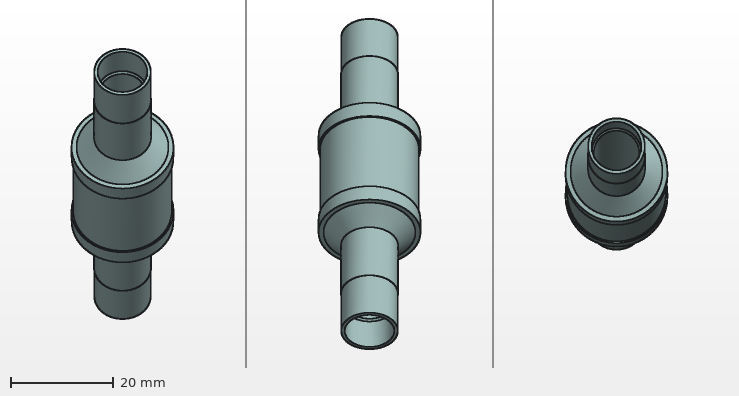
import cadquery as cq

overall_length = 75.29
body_length = 18.0
collar_length = 3.4
shoulder_length = 3.4
pipe_end_length = 9.55
socket_depth = 6.5

body_radius = 9.65
collar_radius = 9.99
shoulder_base_radius = 9.0
pipe_radius = 5.6
pipe_end_radius = 5.55

bore_radius = 4.45
socket_radius = 4.85

funnel_length = socket_radius - bore_radius

half_length = overall_length / 2
body_end = body_length / 2
collar_end = body_end + collar_length
shoulder_end = collar_end + shoulder_length
pipe_end_start = half_length - pipe_end_length
socket_floor = half_length - socket_depth
funnel_floor = socket_floor - funnel_length


def revolve_symmetric(upper_outline):
    """Revolve an outline about Z, mirrored in the mid plane.

    The (radius, height) points run from nearest the mid plane up to the top end.
    """
    lower_outline = [(radius, -height) for radius, height in reversed(upper_outline)]
    axis_ends = [(0, half_length), (0, -half_length)]
    return (
        cq.Workplane("XZ")
        .polyline(lower_outline + upper_outline + axis_ends)
        .close()
        .revolve(360, (0, 0, 0), (0, 1, 0))
    )


def make_outer_shape():
    """Drum with a collar, a conical shoulder and a pipe stub at each end."""
    return revolve_symmetric([
        (body_radius, body_end),
        (collar_radius, body_end),
        (collar_radius, collar_end),
        (shoulder_base_radius, collar_end),
        (pipe_radius, shoulder_end),
        (pipe_radius, pipe_end_start),
        (pipe_end_radius, pipe_end_start),
        (pipe_end_radius, half_length),
    ])


def make_bore():
    """Through bore that funnels out into a wider socket at each end."""
    return revolve_symmetric([
        (bore_radius, funnel_floor),
        (socket_radius, socket_floor),
        (socket_radius, half_length),
    ])


result = make_outer_shape().cut(make_bore())